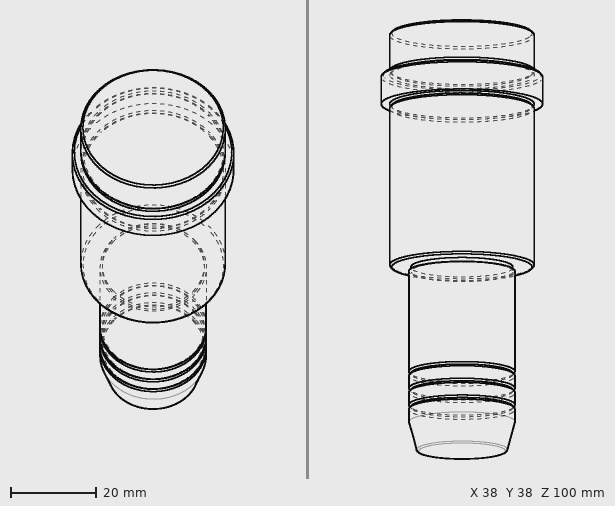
import cadquery as cq
import math

body_radius = 17.0
flange_radius = 19.0
shaft_radius = 12.5
neck_radius = 12.0

total_length = 100.0
flange_top = 90.0
flange_bottom = 83.0
body_bottom = 44.0
neck_length = 1.0
taper_length = 7.0

edge_chamfer = 0.5
taper_angle = 15.0
tip_fillet = 0.5
groove_depth = 0.5
groove_pitch = 4.0
groove_count = 3
lowest_groove_height = 10.5


def cylinder(radius, bottom, top):
    """Cylinder about the Z axis between two heights."""
    return cq.Workplane("XY").workplane(offset=bottom).circle(radius).extrude(top - bottom)


def v_groove(radius, height):
    """Ring that cuts a 90 degree V groove, centred at a height, into a cylinder of the given radius."""
    return (
        cq.Workplane("XZ")
        .moveTo(radius - groove_depth, height)
        .lineTo(radius, height + groove_depth)
        .lineTo(radius, height - groove_depth)
        .close()
        .revolve(360, (0, 0), (0, 1))
    )


def body():
    """Main cylinder with a V groove on each side of its flange."""
    drum = cylinder(body_radius, body_bottom, total_length).edges().chamfer(edge_chamfer)
    upper_groove = v_groove(body_radius, flange_top + groove_depth)
    lower_groove = v_groove(body_radius, flange_bottom - groove_depth)
    flange = cylinder(flange_radius, flange_bottom, flange_top).edges(">Z").chamfer(edge_chamfer)
    return drum.cut(upper_groove).cut(lower_groove).union(flange)


def shaft():
    """Narrow shaft with a short neck, a tapered, rounded tip and a row of V grooves."""
    shaft_top = body_bottom - neck_length
    tip_radius = shaft_radius - taper_length * math.tan(math.radians(taper_angle))
    taper = (
        cq.Workplane("XY")
        .circle(tip_radius)
        .workplane(offset=taper_length)
        .circle(shaft_radius)
        .loft(ruled=True)
        .edges("<Z")
        .fillet(tip_fillet)
    )
    straight = cylinder(shaft_radius, taper_length, shaft_top)
    for index in range(groove_count):
        straight = straight.cut(v_groove(shaft_radius, lowest_groove_height + index * groove_pitch))
    neck = cylinder(neck_radius, shaft_top, body_bottom)
    return taper.union(straight).union(neck)


result = body().union(shaft())